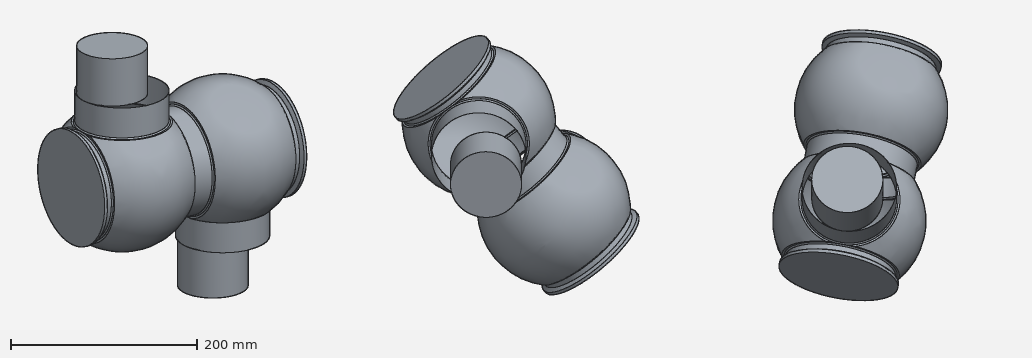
import cadquery as cq

total_height = 305.5
total_length = 260.5

ball_radius = 82.5
ball_spacing = 130.0
port_face = 52.0
cap_face = 62.0

pipe_radius = 60.2
flange_radius = 65.0
flange_thickness = 3.7
flange_taper = 2.5

collar_radius = 50.7
collar_top = 98.0
stem_radius = 38.2
stem_offset = collar_radius - stem_radius

weld_size = 1.5


def cylinder(radius, start, end):
    """Cylinder along Z between two heights."""
    return cq.Workplane("XY").workplane(offset=start).circle(radius).extrude(end - start)


def cone(start_radius, end_radius, start, end):
    """Cone frustum along Z between two heights."""
    profile = [(0, start), (start_radius, start), (end_radius, end), (0, end)]
    return cq.Workplane("XZ").polyline(profile).close().revolve(360, (0, 0), (0, 1))


def along_y(body):
    """Turn a body built along +Z so that it points along -Y."""
    return body.rotate((0, 0, 0), (1, 0, 0), 90)


def port_weld():
    """Weld around the pipe on the -Y face of a ball."""
    return along_y(cone(pipe_radius + weld_size, pipe_radius, port_face, port_face + weld_size))


def valve_unit():
    """Ball at the origin with flat faces, welds, a collar and a stem pointing up."""
    flats = cq.Workplane("XY").box(2 * ball_radius, 2 * port_face, ball_radius + cap_face)
    flats = flats.translate((0, 0, (cap_face - ball_radius) / 2))
    ball = cq.Workplane("XY").sphere(ball_radius).intersect(flats)
    collar = cylinder(collar_radius, 0, collar_top)
    collar_weld = cone(collar_radius + weld_size, collar_radius, cap_face, cap_face + weld_size)
    stem = cylinder(stem_radius, 0, total_height / 2).translate((0, -stem_offset, 0))
    unit = ball.union(collar).union(collar_weld).union(stem)
    return unit.union(port_weld()).union(port_weld().mirror("XZ"))


def end_flange():
    """Tapered flange at the -Y end of the pipe."""
    end = total_length / 2
    rim_start = end - flange_thickness
    rim = cylinder(flange_radius, rim_start, end)
    taper = cone(pipe_radius, flange_radius, rim_start - flange_taper, rim_start)
    return along_y(rim.union(taper))


front_unit = valve_unit().translate((0, -ball_spacing / 2, 0))
rear_unit = valve_unit().mirror("XY").translate((0, ball_spacing / 2, 0))
pipe = along_y(cylinder(pipe_radius, -total_length / 2, total_length / 2))

result = pipe.union(front_unit).union(rear_unit)
result = result.union(end_flange()).union(end_flange().mirror("XZ"))